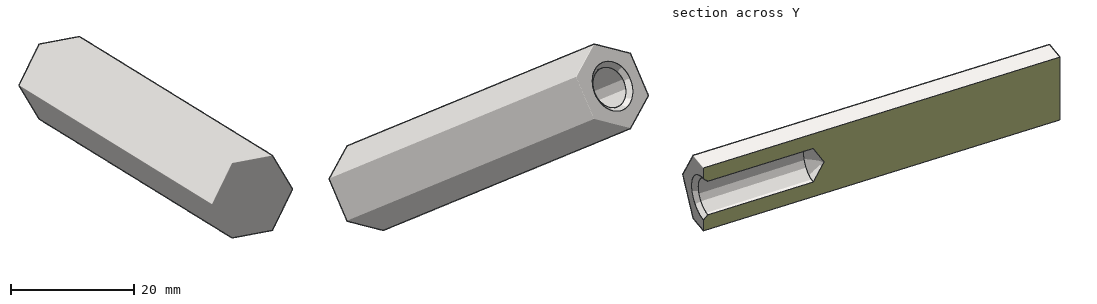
import cadquery as cq
import math

length = 65.0
side_count = 6
across_flats = 13.0
edge_radius = 0.1

bore_diameter = 6.8
mouth_diameter = 8.4
mouth_angle = 90.0
hole_depth = 20.0
drill_point_angle = 120.0


def cone_height(radius_change, included_angle):
    """Axial length over which a cone of the given included angle changes radius."""
    return radius_change / math.tan(math.radians(included_angle / 2))


def make_bar():
    """Hexagonal bar with all outer edges rounded."""
    across_corners = across_flats / math.cos(math.pi / side_count)
    bar = cq.Workplane("YZ").polygon(side_count, across_corners).extrude(length)
    return bar.edges().fillet(edge_radius)


def make_hole():
    """Solid of revolution removed from the -X end."""
    bore_radius = bore_diameter / 2
    mouth_radius = mouth_diameter / 2
    mouth_depth = cone_height(mouth_radius - bore_radius, mouth_angle)
    tip_depth = hole_depth + cone_height(bore_radius, drill_point_angle)
    half_section = [
        (0, 0),
        (0, mouth_radius),
        (mouth_depth, bore_radius),
        (hole_depth, bore_radius),
        (tip_depth, 0),
    ]
    profile = cq.Workplane("XY").polyline(half_section).close()
    return profile.revolve(axisStart=(0, 0, 0), axisEnd=(1, 0, 0))


result = make_bar().cut(make_hole())